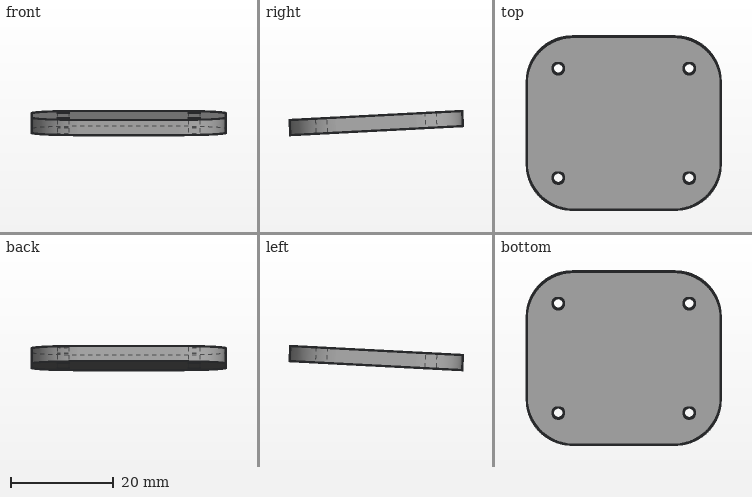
import cadquery as cq

width = 37.77
depth = 33.65
thickness = 3.0
corner_radius = 9.0

hole_diameter = 2.2
hole_spacing_x = 25.45
hole_spacing_y = 21.3

tilt_angle = 3.0


def rounded_plate():
    plate = cq.Workplane("XY").box(width, depth, thickness)
    return plate.edges("|Z").fillet(corner_radius)


def drill_mounting_holes(plate):
    return (
        plate.faces(">Z")
        .workplane()
        .rect(hole_spacing_x, hole_spacing_y, forConstruction=True)
        .vertices()
        .hole(hole_diameter)
    )


flat_plate = drill_mounting_holes(rounded_plate())
result = flat_plate.rotate((0, 0, 0), (1, 0, 0), tilt_angle)